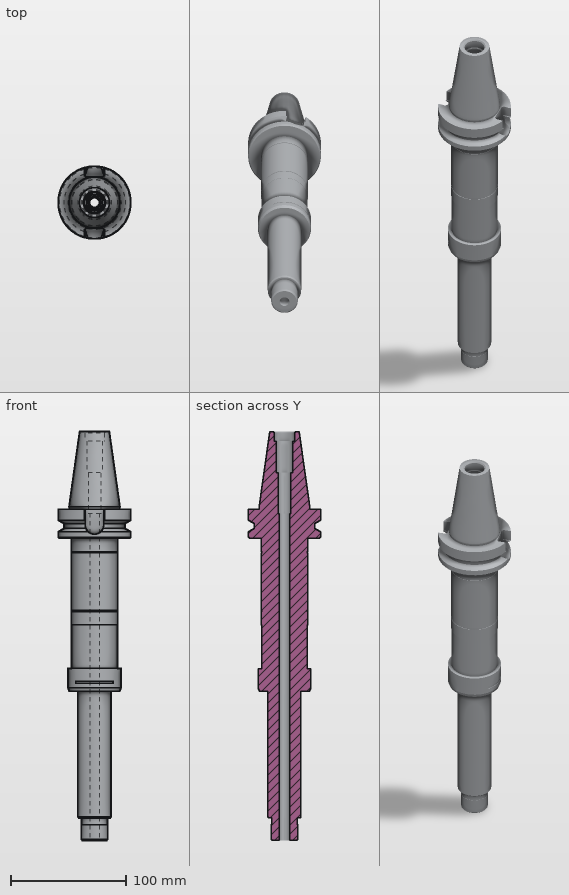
import cadquery as cq
import math

total_height = 355.0
taper_length = 65.3
neck_length = 2.0
flange_height = 25.2
gauge_z = total_height - taper_length
flange_top_z = gauge_z - neck_length
flange_bottom_z = flange_top_z - flange_height
body_step_z = 187.0
collar_top_z = 149.5
collar_bottom_z = 129.5
pilot_top_z = 19.5
pilot_step_z = 14.0

gauge_dia = 44.5
taper_tip_dia = 26.0
neck_dia = 44.0
flange_dia = 63.0
body_dia = 40.5
lower_body_dia = 40.0
collar_dia = 46.0
shaft_dia = 29.0
pilot_dia = 23.0
pilot_neck_dia = 22.7

flange_chamfer = 1.0
collar_chamfer_width = 1.0
collar_chamfer_height = 3.0
shaft_chamfer = 1.0
pilot_chamfer = 1.0

grip_top_z = 278.0
grip_bottom_z = 268.0
grip_root_dia = 53.2
grip_flank_height = (flange_dia - grip_root_dia) / 2 * math.tan(math.radians(30))

ring_groove_heights = (250.2, 199.0)
ring_groove_width = 1.0
ring_groove_depth = 0.5

keyway_width = 16.0
keyway_mouth_width = 18.0
keyway_floor_y = 22.5
keyway_mouth_floor_y = 23.5
keyway_end_z = 265.8

arc_slot_z = 137.5
arc_slot_height = 2.0
arc_slot_depth = 0.5
arc_slot_angle = 90

bore_mouth_dia = 19.0
counterbore_dia = 17.0
counterbore_depth = 8.0
thread_dia = 14.0
thread_depth = 35.5
drill_dia = 10.5
drill_depth = 71.0
coolant_dia = 8.5


def ring(center_z, height, outer_dia, inner_dia):
    """Flat ring around the Z axis, centred on the given height."""
    base = cq.Workplane("XY").workplane(offset=center_z - height / 2)
    return base.circle(outer_dia / 2).circle(inner_dia / 2).extrude(height)


def turned_body():
    """Revolve the outer outline, listed as (diameter, height) from the pilot end up."""
    outline = [
        (pilot_dia - 2 * pilot_chamfer, 0),
        (pilot_dia, pilot_chamfer),
        (pilot_dia, pilot_step_z),
        (pilot_neck_dia, pilot_step_z),
        (pilot_neck_dia, pilot_top_z),
        (shaft_dia - 2 * shaft_chamfer, pilot_top_z),
        (shaft_dia, pilot_top_z + shaft_chamfer),
        (shaft_dia, collar_bottom_z),
        (collar_dia - 2 * collar_chamfer_width, collar_bottom_z),
        (collar_dia, collar_bottom_z + collar_chamfer_height),
        (collar_dia, collar_top_z),
        (lower_body_dia, collar_top_z),
        (lower_body_dia, body_step_z),
        (body_dia, body_step_z),
        (body_dia, flange_bottom_z),
        (flange_dia - 2 * flange_chamfer, flange_bottom_z),
        (flange_dia, flange_bottom_z + flange_chamfer),
        (flange_dia, grip_bottom_z),
        (grip_root_dia, grip_bottom_z + grip_flank_height),
        (grip_root_dia, grip_top_z - grip_flank_height),
        (flange_dia, grip_top_z),
        (flange_dia, flange_top_z),
        (neck_dia, flange_top_z),
        (neck_dia, gauge_z),
        (gauge_dia, gauge_z),
        (taper_tip_dia, total_height),
    ]
    points = [(0, 0)] + [(dia / 2, z) for dia, z in outline] + [(0, total_height)]
    return cq.Workplane("XZ").polyline(points).close().revolve(360, (0, 0), (0, 1))


def keyway():
    """Round-ended keyway on the -Y side, wider where it crosses the upper flange ring."""
    radius = keyway_width / 2
    slot = (
        cq.Workplane("XZ", origin=(0, -keyway_floor_y, 0))
        .moveTo(-radius, flange_top_z)
        .lineTo(-radius, keyway_end_z + radius)
        .threePointArc((0, keyway_end_z), (radius, keyway_end_z + radius))
        .lineTo(radius, flange_top_z)
        .close()
        .extrude(flange_dia)
    )
    mouth_height = flange_top_z - grip_top_z
    mouth = (
        cq.Workplane("XZ", origin=(0, -keyway_mouth_floor_y, grip_top_z + mouth_height / 2))
        .rect(keyway_mouth_width, mouth_height)
        .extrude(flange_dia)
    )
    return slot.union(mouth)


def arc_slot():
    """Part of a ring groove, centred on the -Y side of the collar."""
    collar_radius = collar_dia / 2
    profile = (
        cq.Workplane("XZ")
        .center(collar_radius, arc_slot_z)
        .rect(2 * arc_slot_depth, arc_slot_height)
    )
    sector = profile.revolve(arc_slot_angle, (-collar_radius, 0), (-collar_radius, 1))
    return sector.rotate((0, 0, 0), (0, 0, 1), -90 - arc_slot_angle / 2)


def bore():
    """Tool for the stepped through bore and its chamfered mouth."""
    mouth_chamfer = (bore_mouth_dia - counterbore_dia) / 2
    outline = [
        (coolant_dia, 0),
        (coolant_dia, total_height - drill_depth),
        (drill_dia, total_height - drill_depth),
        (drill_dia, total_height - thread_depth),
        (thread_dia, total_height - thread_depth),
        (thread_dia, total_height - counterbore_depth),
        (counterbore_dia, total_height - counterbore_depth),
        (counterbore_dia, total_height - mouth_chamfer),
        (bore_mouth_dia, total_height),
    ]
    points = [(0, 0)] + [(dia / 2, z) for dia, z in outline] + [(0, total_height)]
    return cq.Workplane("XZ").polyline(points).close().revolve(360, (0, 0), (0, 1))


result = turned_body()
for groove_z in ring_groove_heights:
    result = result.cut(ring(groove_z, ring_groove_width, flange_dia, body_dia - 2 * ring_groove_depth))
for turn in (0, 180):
    result = result.cut(keyway().rotate((0, 0, 0), (0, 0, 1), turn))
result = result.cut(arc_slot()).cut(bore())